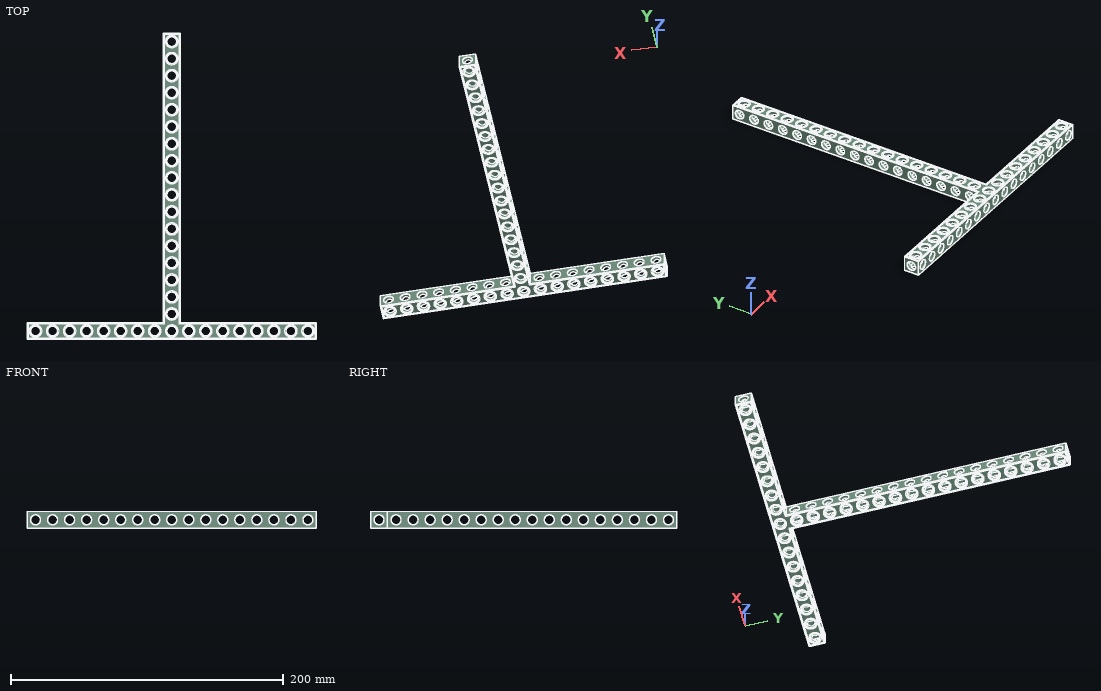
import cadquery as cq

total_length = 225.0
stem_cells = 18
bar_cells = 17
pitch = total_length / stem_cells
half = pitch / 2
bar_length = bar_cells * pitch
stem_end = total_length - half

bore_diameter = 7.0
edge_chamfer = 0.3

recess_depth = 0.2
rim_width = 1.1
collar_diameter = 9.2

bar_positions = [(i - (bar_cells - 1) / 2) * pitch for i in range(bar_cells)]
stem_positions = [i * pitch for i in range(1, stem_cells)]
vertical_bore_centres = [(x, 0) for x in bar_positions] + [(0, y) for y in stem_positions]


def beam(size_x, y_start, y_end, height):
    """Block centred on X and Z, reaching from y_start to y_end."""
    size_y = y_end - y_start
    return cq.Workplane("XY").box(size_x, size_y, height).translate((0, (y_start + y_end) / 2, 0))


def make_body():
    """Bar and stem with every outer edge chamfered; the two inner corners stay sharp."""
    bar = beam(bar_length, -half, half, pitch).edges("|Z").chamfer(edge_chamfer)
    stem = beam(pitch, 0, stem_end, pitch).edges("|Z and >Y").chamfer(edge_chamfer)
    return bar.union(stem).faces(">Z or <Z").edges().chamfer(edge_chamfer)


def make_recess():
    """Cutter for the recess in the top face, open around the collars."""
    field_bar = beam(bar_length - 2 * rim_width, -half + rim_width, half - rim_width, recess_depth)
    field_stem = beam(pitch - 2 * rim_width, 0, stem_end - rim_width, recess_depth)
    collars = (
        cq.Workplane("XY", origin=(0, 0, -recess_depth))
        .pushPoints(vertical_bore_centres)
        .circle(collar_diameter / 2)
        .extrude(2 * recess_depth)
    )
    field = field_bar.union(field_stem).cut(collars)
    return field.translate((0, 0, half - recess_depth / 2))


def make_bore(length):
    """Cutter along Z, starting at the origin, with a flared mouth at both ends."""
    radius = bore_diameter / 2
    mouth = radius + edge_chamfer
    profile = [
        (0, 0),
        (mouth, 0),
        (radius, edge_chamfer),
        (radius, length - edge_chamfer),
        (mouth, length),
        (0, length),
    ]
    return cq.Workplane("XZ").polyline(profile).close().revolve(360, (0, 0, 0), (0, 1, 0)).val()


def along_x(length):
    return make_bore(length).rotate(cq.Vector(0, 0, 0), cq.Vector(0, 1, 0), 90)


def along_y(length):
    return make_bore(length).rotate(cq.Vector(0, 0, 0), cq.Vector(1, 0, 0), -90)


def make_bores():
    """Bores in all three directions; one runs the full length of each beam."""
    bores = [make_bore(pitch).translate(cq.Vector(x, y, -half)) for x, y in vertical_bore_centres]
    for x in bar_positions:
        depth = total_length if x == 0 else pitch
        bores.append(along_y(depth).translate(cq.Vector(x, -half, 0)))
    bores.append(along_x(bar_length).translate(cq.Vector(-bar_length / 2, 0, 0)))
    for y in stem_positions:
        bores.append(along_x(pitch).translate(cq.Vector(-half, y, 0)))
    return bores


top_recess = make_recess()
bottom_recess = top_recess.mirror("XY")
body = make_body().cut(top_recess).cut(bottom_recess)
drilled = body.val().cut(*make_bores())
result = cq.Workplane(drilled.Solids()[0])